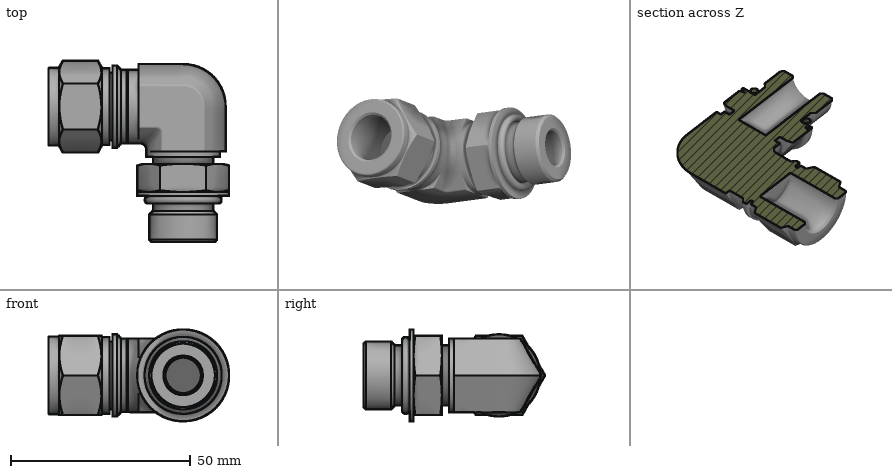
import cadquery as cq
import math

TUBE_REACH = 37.6
PORT_REACH = 37.8
BORE_CHAMFER = 0.55

BLOCK_FLATS = 20.6
BLOCK_REACH = 12.5
CORNER_FILLET = 1.6
EDGE_FILLET = 0.6

TUBE_BORE_DIA = 12.9
NUT_FLATS = 22.22
NUT_FRONT_DIA = 21.8
NUT_BACK_DIA = 21.5
NUT_FRONT_FILLET = 0.5
NUT_BACK_FILLET = 0.2
NUT_HEX_START = 2.95
NUT_HEX_END = 15.0
NUT_HEX_CHAMFER_ANGLE = 30
NUT_END = 17.08
NECK_DIA = 19.0
FLANGE_DIA = 23.0
FLANGE_START = 17.85
FLANGE_RIM = 1.25
GROOVE_START = 21.75
GROOVE_WIDTH = 0.4
GROOVE_DEPTH = 0.1

PORT_BORE_DIA = 9.9
THREAD_DIA = 19.0
THREAD_TIP_DIA = 17.7
THREAD_CHAMFER = 0.77
THREAD_END = 7.67
SHANK_DIA = 16.9
WASHER_DIA = 25.7
WASHER_START = 12.88
LOCKNUT_START = 14.0
LOCKNUT_END = 21.84
LOCKNUT_FLATS = 22.22
LOCKNUT_CHAMFER_ANGLE = 15
COLLAR_START = 23.8

RING_OUTER_DIA = 21.5
RING_SECTION_DIA = 2.16

ARM_RADIUS = BLOCK_FLATS / 2
HALF_FLAT = ARM_RADIUS * math.tan(math.pi / 6)
CORNER_RADIUS = ARM_RADIUS / math.cos(math.pi / 6)


def on_tube_arm(shape):
    """Move a shape built along +Z from its open face onto the tube arm."""
    return shape.rotate((0, 0, 0), (0, 1, 0), 90).translate((-TUBE_REACH, 0, 0))


def on_port_arm(shape):
    """Move a shape built along +Z from its open face onto the port arm."""
    return shape.rotate((0, 0, 0), (1, 0, 0), -90).translate((0, -PORT_REACH, 0))


def turned(profile):
    """Revolve (radius, height) points about the Z axis, with the seam on the -X side."""
    body = cq.Workplane("XZ").polyline(profile).close().revolve(360, (0, 0, 0), (0, 1, 0))
    return body.rotate((0, 0, 0), (0, 0, 1), 180)


def cylinder(diameter, start, end):
    return cq.Workplane("XY", origin=(0, 0, start)).circle(diameter / 2).extrude(end - start)


def blind_bore(diameter, depth):
    """Cutter for a flat-bottomed bore with a chamfered mouth at height zero."""
    radius = diameter / 2
    return turned([
        (0, 0),
        (radius + BORE_CHAMFER, 0),
        (radius, BORE_CHAMFER),
        (radius, depth),
        (0, depth),
    ])


def chamfered_hex(flats, start, end, start_dia, end_dia, angle):
    """Hexagonal prism coned at both ends, with corners on the X axis."""
    corner_dia = flats / math.cos(math.pi / 6)
    prism = cq.Workplane("XY", origin=(0, 0, start)).polygon(6, corner_dia).extrude(end - start)
    slope = math.tan(math.radians(angle))
    envelope = turned([
        (0, start),
        (start_dia / 2, start),
        (corner_dia / 2, start + (corner_dia - start_dia) / 2 * slope),
        (corner_dia / 2, end - (corner_dia - end_dia) / 2 * slope),
        (end_dia / 2, end),
        (0, end),
    ])
    return prism.intersect(envelope)


def arm_section(plane):
    """Hexagon with flats up and down; its corner on the inner side of the bend is rounded."""
    tangent_across = ARM_RADIUS * math.cos(math.pi / 6)
    tangent_up = ARM_RADIUS * math.sin(math.pi / 6)
    return (
        cq.Workplane(plane)
        .moveTo(CORNER_RADIUS, 0)
        .lineTo(HALF_FLAT, ARM_RADIUS)
        .lineTo(-HALF_FLAT, ARM_RADIUS)
        .lineTo(-tangent_across, tangent_up)
        .threePointArc((-ARM_RADIUS, 0), (-tangent_across, -tangent_up))
        .lineTo(-HALF_FLAT, -ARM_RADIUS)
        .lineTo(HALF_FLAT, -ARM_RADIUS)
        .close()
    )


def outer_bend():
    """Quarter turn of the outer half of the hexagon about the Z axis."""
    return (
        cq.Workplane("XZ")
        .moveTo(0, ARM_RADIUS)
        .lineTo(HALF_FLAT, ARM_RADIUS)
        .lineTo(CORNER_RADIUS, 0)
        .lineTo(HALF_FLAT, -ARM_RADIUS)
        .lineTo(0, -ARM_RADIUS)
        .close()
        .revolve(90, (0, 0, 0), (0, -1, 0))
        .rotate((0, 0, 0), (0, 0, 1), 90)
    )


def elbow_block():
    tube_arm = arm_section("YZ").extrude(-BLOCK_REACH)
    port_arm = arm_section("XZ").extrude(BLOCK_REACH)
    block = tube_arm.union(port_arm).union(outer_bend())

    margin = 0.1
    mitre = cq.selectors.BoxSelector(
        (-ARM_RADIUS, -ARM_RADIUS, -ARM_RADIUS),
        (-HALF_FLAT - margin, -HALF_FLAT - margin, ARM_RADIUS),
    )
    block = block.edges(mitre).fillet(CORNER_FILLET)

    return block.faces("|Z").edges("not(<X or <Y)").fillet(EDGE_FILLET)


def tube_nut():
    """Hex nut with a round collar at each end."""
    front = cylinder(NUT_FRONT_DIA, 0, NUT_HEX_START).faces("<Z").edges().fillet(NUT_FRONT_FILLET)
    hexagon = chamfered_hex(
        NUT_FLATS, NUT_HEX_START, NUT_HEX_END, NUT_FRONT_DIA, NUT_BACK_DIA, NUT_HEX_CHAMFER_ANGLE
    ).rotate((0, 0, 0), (0, 0, 1), 90)
    back = cylinder(NUT_BACK_DIA, NUT_HEX_END, NUT_END).faces(">Z").edges().fillet(NUT_BACK_FILLET)
    return front.union(hexagon).union(back)


def tube_shank():
    """Round length from the nut to the elbow block: neck, coned flange and grooved barrel."""
    flange_radius = FLANGE_DIA / 2
    rim_end = FLANGE_START + FLANGE_RIM
    groove_end = GROOVE_START + GROOVE_WIDTH
    block_face = TUBE_REACH - BLOCK_REACH
    return turned([
        (0, NUT_END),
        (NECK_DIA / 2, NUT_END),
        (NECK_DIA / 2, FLANGE_START),
        (flange_radius, FLANGE_START),
        (flange_radius, rim_end),
        (ARM_RADIUS, rim_end + flange_radius - ARM_RADIUS),
        (ARM_RADIUS, GROOVE_START),
        (ARM_RADIUS - GROOVE_DEPTH, GROOVE_START),
        (ARM_RADIUS - GROOVE_DEPTH, groove_end),
        (ARM_RADIUS, groove_end),
        (ARM_RADIUS, block_face),
        (0, block_face),
    ])


def port_shank():
    """Threaded end, undercut, washer and collar of the port arm."""
    thread_radius = THREAD_DIA / 2
    shank_radius = SHANK_DIA / 2
    block_face = PORT_REACH - BLOCK_REACH
    return turned([
        (0, 0),
        (THREAD_TIP_DIA / 2, 0),
        (thread_radius, THREAD_CHAMFER),
        (thread_radius, THREAD_END),
        (shank_radius, THREAD_END + thread_radius - shank_radius),
        (shank_radius, WASHER_START),
        (WASHER_DIA / 2, WASHER_START),
        (WASHER_DIA / 2, LOCKNUT_START),
        (shank_radius, LOCKNUT_START),
        (shank_radius, COLLAR_START),
        (ARM_RADIUS, COLLAR_START),
        (ARM_RADIUS, block_face),
        (0, block_face),
    ])


def fitting():
    """Elbow with its tube nut, port end, washer and locknut."""
    locknut = chamfered_hex(
        LOCKNUT_FLATS, LOCKNUT_START, LOCKNUT_END, LOCKNUT_FLATS, LOCKNUT_FLATS, LOCKNUT_CHAMFER_ANGLE
    )
    tube_end = tube_nut().union(tube_shank()).cut(blind_bore(TUBE_BORE_DIA, NUT_END))
    port_end = port_shank().union(locknut).cut(blind_bore(PORT_BORE_DIA, COLLAR_START))
    return elbow_block().union(on_tube_arm(tube_end)).union(on_port_arm(port_end))


def o_ring():
    """Ring lying against the washer with a small clearance around the shank."""
    section_radius = RING_SECTION_DIA / 2
    centre_radius = RING_OUTER_DIA / 2 - section_radius
    ring = (
        cq.Workplane("XZ")
        .moveTo(centre_radius, WASHER_START - section_radius)
        .circle(section_radius)
        .revolve(360, (0, 0, 0), (0, 1, 0))
    )
    return on_port_arm(ring)


result = cq.Compound.makeCompound([fitting().val(), o_ring().val()])